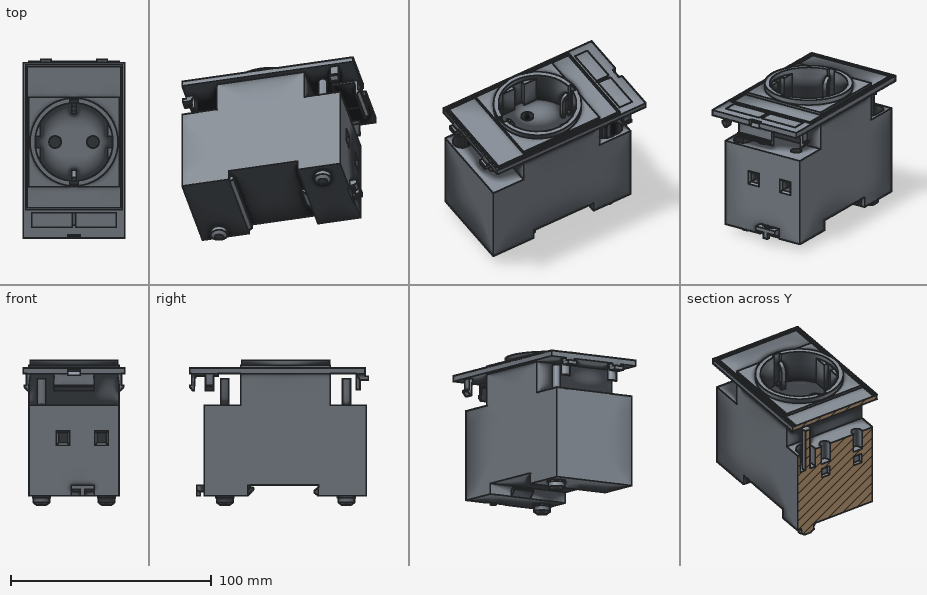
import cadquery as cq


body_half_width = 22.5
body_front, body_back = -40.6, 40.1
shoulder_z = 45.2
tower_half_length = 22.3
rail_front, rail_back = -18.9, 16.3
rail_depth = 5.3

plate_half_width = 25.4
plate_front, plate_back = -47.8, 39.5
plate_bottom, plate_top = 60.9, 63.7
pad_top = 65.1
collar_top = 67.6
collar_radius = 21.9
groove_half_width, groove_front, groove_back = 24.1, -33.6, 38.4
groove_width = 0.9
groove_depth = 0.2
label_inner, label_outer = 0.8, 20.9
label_front, label_back = -42.45, -35.15
label_depth = 0.1
divider_front = -41.4
divider_depth = 1.3
pry_half_width = 3.0
pry_depth, pry_undercut, pry_ramp_end = 1.6, 2.1, 0.7
pry_lip_z, pry_undercut_z, pry_bottom = 62.9, 62.0, 59.6

cavity_radius = 19.4
cavity_floor = 50.2
keyway_half_width, keyway_reach = 2.05, 21.0
contact_half_width = 1.2
contact_inner, contact_crest, contact_outer = 14.1, 17.4, 19.5
contact_top, contact_bend = 65.15, 59.6
contact_thickness, contact_tip_underside = 1.6, 63.4
contact_base_height = 1.25
contact_front_bend_y, contact_front_bend_z = 15.1, 63.4
contact_rear_bend_y, contact_rear_bend_z = 16.2, 61.9
guide_inner, guide_web = 16.7, 19.05
guide_gap = 5.6
pin_offset, pin_radius, pin_depth = 9.4, 3.0, 10.7

clip_tip_z, clip_barb_bottom, clip_barb_top = 52.3, 54.3, 55.2
clip_wall = 2.0
clip_barb = 1.0
clip_tip_inset = 0.6
clip_step, clip_step_z = 0.3, 58.9
front_clip_half_length = 10.0
front_clip_face = 46.8
side_clip_face = 23.8
side_clip_front, side_clip_back = -40.0, -35.8
strip_back, strip_thickness = -33.55, 1.25
hook_offset, hook_width = 14.0, 5.2
hook_tip, hook_root, post_back = 41.2, 35.1, 37.1
hook_bottom, hook_top = 57.7, 59.6
post_bottom = 52.95

screw_x, screw_y = 16.2, 30.3
stem_radius, stem_top = 2.05, 58.4
washer_radius, washer_bottom = 4.45, -0.9
head_radius, head_edge = 4.1, -3.2
head_tip_radius, head_bottom = 2.2, -4.6
well_radius, well_inner, well_outer = 4.45, 29.2, 34.35
well_depth = 10.7

terminal_xs = (-5.4, 13.7)
entry_z, entry_width, entry_height = 28.8, 4.45, 5.0
entry_flare, entry_flare_depth, entry_depth = 1.1, 1.1, 10.7
terminal_y, terminal_radius, terminal_depth = -30.9, 2.7, 10.7

latch_x, latch_width = 4.3, 11.4
latch_bottom, latch_front = 2.1, -44.3
latch_recess_back = body_front + 0.9
latch_edge_z, latch_bevel_y = 3.2, -42.7
latch_leg_width, latch_leg_back = 2.3, -42.4
latch_eye_radius, latch_eye_y = 5.25, -37.3
hook_stop_width, hook_stop_thickness = 9.6, 1.25
sprung_reach, sprung_crest_inset = 3.0, 0.9
sprung_tip_bottom, sprung_tip_top, sprung_crest = 3.3, 3.9, 4.4
sprung_shoulder, sprung_root_top = 4.2, 2.9
fixed_hook_half_length, fixed_reach = 20.5, 2.0
fixed_tip_bottom, fixed_tip_top, fixed_root_top = 1.5, 2.7, 4.2


def box(x0, x1, y0, y1, z0, z1):
    """Axis-aligned block between two corners."""
    return cq.Workplane("XY").box(x1 - x0, y1 - y0, z1 - z0, centered=False).translate((x0, y0, z0))


def cylinder(x, y, radius, z0, z1):
    """Upright cylinder between two heights."""
    return cq.Workplane("XY", origin=(x, y, z0)).circle(radius).extrude(z1 - z0)


def side_prism(points, x_center, width):
    """Prism along X from an outline of (y, z) points."""
    outline = cq.Workplane("YZ", origin=(x_center - width / 2, 0, 0)).polyline(points).close()
    return outline.extrude(width)


def housing():
    lower = box(-body_half_width, body_half_width, body_front, body_back, 0, shoulder_z)
    tower = box(-body_half_width, body_half_width, -tower_half_length, tower_half_length, shoulder_z, pad_top)
    rail = box(-body_half_width, body_half_width, rail_front, rail_back, 0, rail_depth)
    return lower.union(tower).cut(rail)


def cover_plate():
    plate = box(-plate_half_width, plate_half_width, plate_front, plate_back, plate_bottom, plate_top)

    groove_floor = plate_top - groove_depth
    groove = box(-groove_half_width, groove_half_width, groove_front, groove_back, groove_floor, plate_top)
    panel_half_width = groove_half_width - groove_width
    panel = box(
        -panel_half_width, panel_half_width,
        groove_front + groove_width, groove_back - groove_width,
        groove_floor, plate_top,
    )
    plate = plate.cut(groove.cut(panel))

    for x0, x1 in ((-label_outer, -label_inner), (label_inner, label_outer)):
        plate = plate.cut(box(x0, x1, label_front, label_back, plate_top - label_depth, plate_top))
    divider = box(-label_inner, label_inner, divider_front, label_back, plate_top - divider_depth, plate_top)
    return plate.cut(divider)


def barbed_outline(face):
    """(outward, z) outline of a snap clip whose outer face stands at the given distance."""
    inner = face - clip_wall
    return [
        (inner, plate_bottom),
        (face, plate_bottom),
        (face, clip_barb_top),
        (face + clip_barb, clip_barb_top),
        (face + clip_barb, clip_barb_bottom),
        (face - clip_tip_inset, clip_tip_z),
        (inner + clip_tip_inset, clip_tip_z),
        (inner + clip_step, clip_step_z),
        (inner, clip_step_z),
    ]


def front_clip():
    outline = [(-out, z) for out, z in barbed_outline(front_clip_face)]
    clip = side_prism(outline, 0, 2 * front_clip_half_length)
    strip = box(
        -front_clip_half_length, front_clip_half_length,
        -front_clip_face, strip_back,
        plate_bottom - strip_thickness, plate_bottom,
    )
    return clip.union(strip)


def side_clips():
    outline = barbed_outline(side_clip_face)
    wall = cq.Workplane("XZ", origin=(0, side_clip_back, 0)).polyline(outline).close()
    clip = wall.extrude(side_clip_back - side_clip_front)
    return clip.union(clip.mirror("YZ"))


def rear_hook(x):
    """Hook with a D-shaped post, at the back of the cover."""
    outline = [
        (plate_back, plate_bottom),
        (hook_root, plate_bottom),
        (post_back, hook_bottom),
        (hook_tip, hook_bottom),
        (hook_tip, hook_top),
        (plate_back, hook_top),
    ]
    half = hook_width / 2
    post = (
        cq.Workplane("XY", origin=(x, 0, post_bottom))
        .moveTo(-half, hook_root)
        .threePointArc((0, post_back), (half, hook_root))
        .close()
        .extrude(plate_bottom - post_bottom)
    )
    return side_prism(outline, x, hook_width).union(post)


def pry_notch():
    """Undercut notch in the front edge of the cover, for a screwdriver."""
    outline = [
        (plate_front, plate_top),
        (plate_front + pry_depth, plate_top),
        (plate_front + pry_depth, pry_lip_z),
        (plate_front + pry_undercut, pry_undercut_z),
        (plate_front + pry_ramp_end, pry_bottom),
        (plate_front, pry_bottom),
    ]
    return side_prism(outline, 0, 2 * pry_half_width)


def socket_cavity():
    """Volume removed for the plug: bore, keyways and pin holes, less the two plug guides."""
    bore = cylinder(0, 0, cavity_radius, cavity_floor, collar_top)
    for side in (-1, 1):
        x0, x1 = sorted((side * guide_inner, side * collar_radius))
        guide = box(x0, x1, -collar_radius, collar_radius, cavity_floor, pad_top)
        x0, x1 = sorted((side * guide_inner, side * guide_web))
        gap = box(x0, x1, -guide_gap / 2, guide_gap / 2, cavity_floor, pad_top)
        bore = bore.cut(guide.cut(gap))
    keyway = box(
        -keyway_half_width, keyway_half_width, -keyway_reach, keyway_reach, cavity_floor, collar_top
    )
    bore = bore.union(keyway)
    for x in (-pin_offset, pin_offset):
        bore = bore.union(cylinder(x, 0, pin_radius, cavity_floor - pin_depth, cavity_floor))
    return bore


def earth_contacts():
    """Bent earthing strips, each with a small base block behind it."""
    contact_rear = contact_inner + contact_thickness
    front_bend = (contact_front_bend_y, contact_front_bend_z)
    rear_bend = (contact_rear_bend_y, contact_rear_bend_z)
    strip = (
        cq.Workplane("YZ", origin=(-contact_half_width, 0, 0))
        .moveTo(contact_inner, cavity_floor)
        .lineTo(contact_inner, contact_bend)
        .threePointArc(front_bend, (contact_crest, contact_top))
        .lineTo(contact_crest, contact_tip_underside)
        .threePointArc(rear_bend, (contact_rear, contact_bend))
        .lineTo(contact_rear, cavity_floor)
        .close()
        .extrude(2 * contact_half_width)
    )
    base = box(
        -contact_half_width, contact_half_width, contact_crest, contact_outer,
        cavity_floor, cavity_floor + contact_base_height,
    )
    contact = strip.union(base)
    return contact.union(contact.mirror("XZ"))


def screw(x, y):
    """Fixing screw as one turned body: stem, washer and bevelled foot."""
    outline = [
        (0, stem_top),
        (stem_radius, stem_top),
        (stem_radius, 0),
        (washer_radius, 0),
        (washer_radius, washer_bottom),
        (head_radius, washer_bottom),
        (head_radius, head_edge),
        (head_tip_radius, head_bottom),
        (0, head_bottom),
    ]
    turned = cq.Workplane("XZ").polyline(outline).close().revolve(360, (0, 0, 0), (0, 1, 0))
    return turned.translate((x, y, 0))


def screw_well(side):
    """Oblong well around a screw; side -1 is the front left one, +1 the rear right one."""
    length = well_outer - well_inner + 2 * well_radius
    center = (side * screw_x, side * (well_inner + well_outer) / 2, shoulder_z - well_depth)
    return cq.Workplane("XY", origin=center).slot2D(length, 2 * well_radius, 90).extrude(well_depth)


def wire_entry(x):
    """Flared rectangular opening in the front wall."""
    flare = (
        cq.Workplane("XZ", origin=(x, body_front + entry_flare_depth, entry_z))
        .rect(entry_width, entry_height)
        .workplane(offset=entry_flare_depth)
        .rect(entry_width + 2 * entry_flare, entry_height + 2 * entry_flare)
        .loft(ruled=True)
    )
    pocket = box(
        x - entry_width / 2, x + entry_width / 2,
        body_front + entry_flare_depth, body_front + entry_depth,
        entry_z - entry_height / 2, entry_z + entry_height / 2,
    )
    return flare.union(pocket)


def terminal_hole(x):
    return cylinder(x, terminal_y, terminal_radius, shoulder_z - terminal_depth, shoulder_z)


def latch_recess():
    """Shallow recess in the front wall that the latch handle sits in."""
    half = latch_width / 2
    return box(latch_x - half, latch_x + half, body_front, latch_recess_back, 0, rail_depth)


def latch_handle():
    """Pull tab of the rail latch, with a grip rib down its middle."""
    outline = [
        (latch_recess_back, latch_bottom),
        (latch_recess_back, rail_depth),
        (latch_front, rail_depth),
        (latch_front, latch_edge_z),
        (latch_bevel_y, latch_bottom),
    ]
    half_leg = latch_leg_width / 2
    leg = box(latch_x - half_leg, latch_x + half_leg, latch_front, latch_leg_back, 0, rail_depth)
    return side_prism(outline, latch_x, latch_width).union(leg)


def latch_eye():
    """Arc-shaped opening through the handle, closed by the back wall of its recess."""
    half = latch_width / 2
    reach = box(latch_x - half, latch_x + half, latch_front, latch_recess_back, 0, rail_depth)
    return cylinder(latch_x, latch_eye_y, latch_eye_radius, 0, rail_depth).intersect(reach)


def rail_hooks():
    """Sprung hook of the latch at the front of the rail channel, its stop, and the fixed hook at the back."""
    sprung_tip = rail_front + sprung_reach
    sprung = [
        (rail_front, 0),
        (sprung_tip, sprung_tip_bottom),
        (sprung_tip, sprung_tip_top),
        (sprung_tip - sprung_crest_inset, sprung_crest),
        (rail_front + hook_stop_thickness, sprung_shoulder),
        (rail_front, sprung_root_top),
    ]
    fixed_tip = rail_back - fixed_reach
    fixed = [
        (rail_back, 0),
        (fixed_tip, fixed_tip_bottom),
        (fixed_tip, fixed_tip_top),
        (rail_back, fixed_root_top),
    ]
    half_stop = hook_stop_width / 2
    stop = box(
        latch_x - half_stop, latch_x + half_stop,
        rail_front, rail_front + hook_stop_thickness,
        latch_bottom, rail_depth,
    )
    hooks = side_prism(sprung, latch_x, latch_width).union(stop)
    return hooks.union(side_prism(fixed, 0, 2 * fixed_hook_half_length))


result = housing().union(cover_plate())
result = result.union(cylinder(0, 0, collar_radius, pad_top, collar_top))
result = result.union(front_clip()).union(side_clips())
for x in (-hook_offset, hook_offset):
    result = result.union(rear_hook(x))

result = result.cut(pry_notch()).cut(socket_cavity()).union(earth_contacts())
for x in terminal_xs:
    result = result.cut(wire_entry(x)).cut(terminal_hole(x))

for side in (-1, 1):
    result = result.cut(screw_well(side)).union(screw(side * screw_x, side * screw_y))

result = result.cut(latch_recess()).union(latch_handle()).cut(latch_eye()).union(rail_hooks())